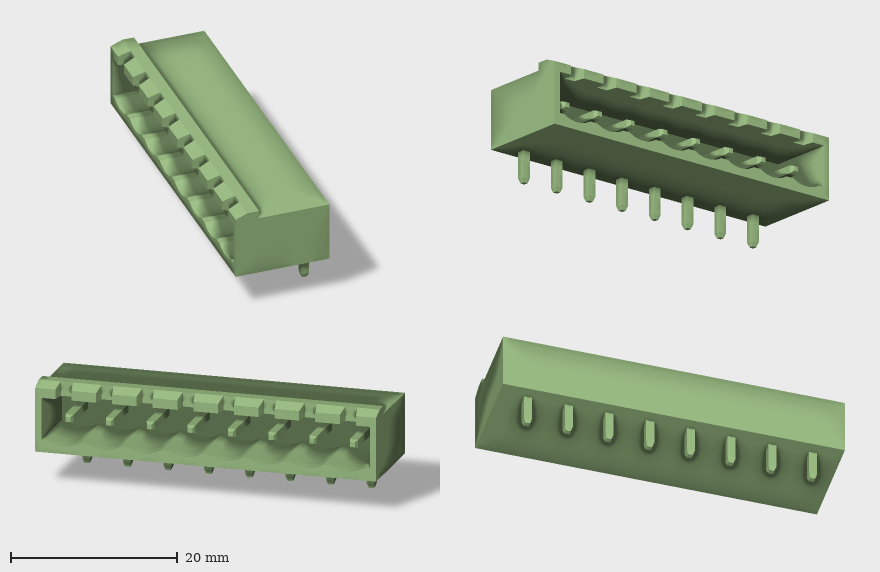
import cadquery as cq


pin_count = 8
pitch = 5.08
pin_width = 1.0
pin_tip_width = 0.6
pin_taper_length = 0.6
pin_tail_length = 4.0
pin_axis_height = 3.75
pin_front_setback = 1.9

end_margin = 3.54
length = (pin_count - 1) * pitch + 2 * end_margin
depth = 12.0
height = 7.6
back_to_pins = 1.95
back_y = back_to_pins
front_y = back_y - depth

lip_height = 1.0
lip_depth = 3.0
lip_slope_depth = 1.5
lip_slope_drop = 0.6
lip_top = height + lip_height

notch_back_width = 1.5
notch_front_width = 2.0

wall = 0.8
back_wall = 3.4
floor_thickness = 1.55
scoop_depth = 0.57
scoop_width = 4.0
cavity_depth = depth - back_wall

pin_positions = [(i - (pin_count - 1) / 2) * pitch for i in range(pin_count)]


def make_housing():
    """Extrude the side profile, lip included, along the row."""
    return (
        cq.Workplane("YZ")
        .moveTo(back_y, 0)
        .lineTo(back_y, height)
        .lineTo(front_y + lip_depth, height)
        .lineTo(front_y + lip_depth, lip_top)
        .lineTo(front_y + lip_slope_depth, lip_top)
        .lineTo(front_y, lip_top - lip_slope_drop)
        .lineTo(front_y, 0)
        .close()
        .extrude(length / 2, both=True)
    )


def make_cavity():
    """Front opening whose floor has one arc-shaped scoop under each pin."""
    half_width = length / 2 - wall
    ceiling = height - wall
    outline = (
        cq.Workplane("XZ", origin=(0, front_y, 0))
        .moveTo(-half_width, ceiling)
        .lineTo(-half_width, floor_thickness)
    )
    for x in pin_positions:
        outline = outline.lineTo(x - scoop_width / 2, floor_thickness).threePointArc(
            (x, floor_thickness - scoop_depth),
            (x + scoop_width / 2, floor_thickness),
        )
    return (
        outline.lineTo(half_width, floor_thickness)
        .lineTo(half_width, ceiling)
        .close()
        .extrude(-cavity_depth)
    )


def make_notch(x):
    """Tapered slot from the cavity ceiling up through the sloped part of the lip."""
    notch_end_y = front_y + lip_slope_depth
    notch_floor = height - wall
    return (
        cq.Workplane("XY", origin=(x, 0, notch_floor))
        .moveTo(-notch_front_width / 2, front_y)
        .lineTo(notch_front_width / 2, front_y)
        .lineTo(notch_back_width / 2, notch_end_y)
        .lineTo(-notch_back_width / 2, notch_end_y)
        .close()
        .extrude(lip_top - notch_floor)
    )


def make_leg(plane, leg_length):
    """Square bar from the plane along its normal, ending in a tapered tip."""
    straight_length = leg_length - pin_taper_length
    bar = cq.Workplane(plane).rect(pin_width, pin_width).extrude(straight_length)
    tip = (
        cq.Workplane(plane)
        .workplane(offset=straight_length)
        .rect(pin_width, pin_width)
        .workplane(offset=pin_taper_length)
        .rect(pin_tip_width, pin_tip_width)
        .loft(ruled=True)
    )
    return bar.union(tip)


def make_pin(x):
    """Right-angle pin: a tail pointing down and a contact pointing forward."""
    bend = (x, 0, pin_axis_height)
    downward = cq.Plane(origin=bend, xDir=(1, 0, 0), normal=(0, 0, -1))
    forward = cq.Plane(origin=bend, xDir=(1, 0, 0), normal=(0, -1, 0))
    tail = make_leg(downward, pin_axis_height + pin_tail_length)
    contact = make_leg(forward, -front_y - pin_front_setback)
    return tail.union(contact)


result = make_housing().cut(make_cavity())
for pin_x in pin_positions:
    result = result.cut(make_notch(pin_x)).union(make_pin(pin_x))